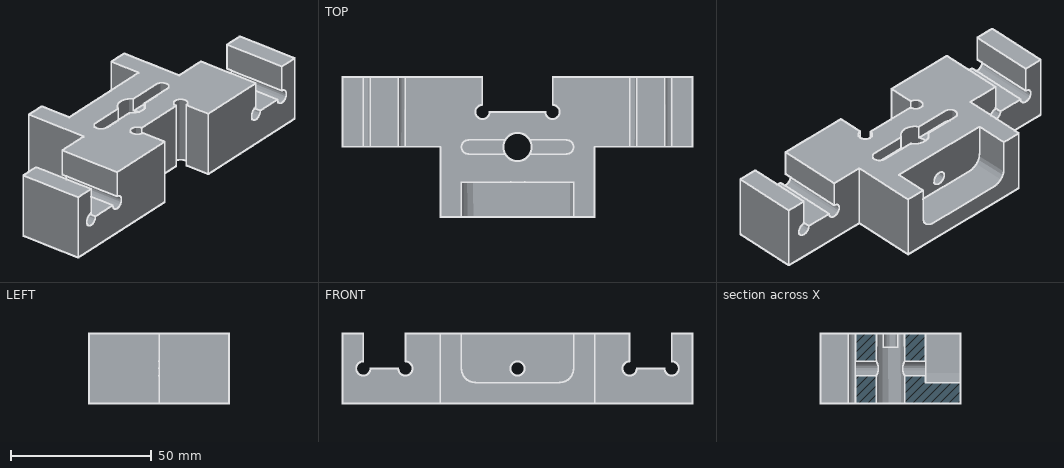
import cadquery as cq

length = 125.0
depth = 50.0
height = 25.0
mid_height = height / 2

bar_depth = depth / 2
block_width = 55.0
front_y = -depth / 2
rear_y = depth / 2

relief_diameter = 5.0

arm_slot_width = 15.0
arm_slot_depth = height / 2
arm_slot_wall = 7.5
arm_slot_offset = length / 2 - arm_slot_wall - arm_slot_width / 2

notch_width = 25.0
notch_depth = 12.5

pocket_width = 40.0
pocket_depth = 12.5
pocket_floor = 7.5
pocket_radius = 5.0

center_bore_diameter = 10.0
cross_hole_diameter = 5.0
top_slot_length = 40.0
top_slot_width = 5.0
top_slot_depth = 5.0


def box(width, box_depth, box_height, x, y, z):
    """Box centred on x, with y and z at its lowest faces."""
    return (
        cq.Workplane("XY")
        .box(width, box_depth, box_height, centered=(True, False, False))
        .translate((x, y, z))
    )


def make_body():
    bar = box(length, bar_depth, height, 0, rear_y - bar_depth, 0)
    block = box(block_width, depth, height, 0, front_y, 0)
    return bar.union(block)


def arm_slot_cutter(x):
    """Slot along Y with a relief bore along each lower corner."""
    floor_z = height - arm_slot_depth
    slot = box(arm_slot_width, depth, arm_slot_depth, x, front_y, floor_z)
    corners = [(x + side * arm_slot_width / 2, floor_z) for side in (-1, 1)]
    reliefs = (
        cq.Workplane("XZ", origin=(0, rear_y, 0))
        .pushPoints(corners)
        .circle(relief_diameter / 2)
        .extrude(depth)
    )
    return slot.union(reliefs)


def notch_cutter():
    """Full-height rear notch with a relief bore at each inner corner."""
    inner_y = rear_y - notch_depth
    notch = box(notch_width, notch_depth, height, 0, inner_y, 0)
    corners = [(side * notch_width / 2, inner_y) for side in (-1, 1)]
    reliefs = cq.Workplane("XY").pushPoints(corners).circle(relief_diameter / 2).extrude(height)
    return notch.union(reliefs)


def pocket_cutter():
    """Front pocket with rounded lower side edges."""
    pocket = box(pocket_width, pocket_depth, height - pocket_floor, 0, front_y, pocket_floor)
    return pocket.edges("|Y and <Z").fillet(pocket_radius)


def center_bore_cutter():
    return cq.Workplane("XY").circle(center_bore_diameter / 2).extrude(height)


def top_slot_cutter():
    return (
        cq.Workplane("XY", origin=(0, 0, height - top_slot_depth))
        .slot2D(top_slot_length, top_slot_width)
        .extrude(top_slot_depth)
    )


def cross_hole_cutter():
    """Hole along Y from the front pocket to the rear notch."""
    return (
        cq.Workplane("XZ", origin=(0, rear_y, mid_height))
        .circle(cross_hole_diameter / 2)
        .extrude(depth)
    )


result = make_body()
for arm_side in (-1, 1):
    result = result.cut(arm_slot_cutter(arm_side * arm_slot_offset))
result = result.cut(notch_cutter())
result = result.cut(pocket_cutter())
result = result.cut(center_bore_cutter())
result = result.cut(top_slot_cutter())
result = result.cut(cross_hole_cutter())